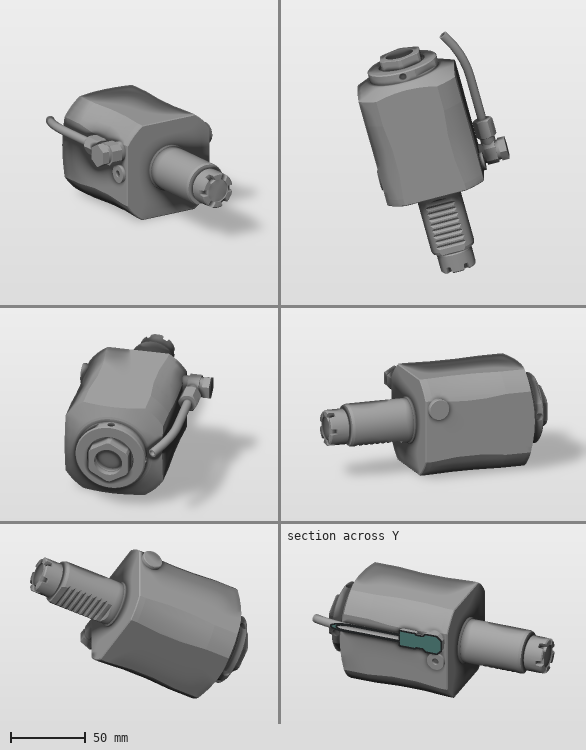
import cadquery as cq
import math


OVERALL_LENGTH = 157.3

BLOCK_SIDE = 67.0
BLOCK_LENGTH = 81.3
BLOCK_CORNER_RADIUS = 39.6
BLOCK_WAIST_RADIUS = 38.5
WAIST_START_X = -57.7
WAIST_END_X = -5.0
NOSE_CONE_LENGTH = 6.1
NOSE_CONE_RADIUS = 27.4
NOSE_BEVEL_LENGTH = 0.5
NOSE_FACE_RADIUS = 26.0
FLANGE_EDGE_CHAMFER = 0.6

RING_RADIUS = 23.9
RING_LENGTH = 7.0
RING_CHAMFER = 0.8
RING_RECESS_RADIUS = 16.0
RING_RECESS_DEPTH = 2.4
SPANNER_HOLE_RADIUS = 2.5
SPANNER_HOLE_DEPTH = 4.7
SPANNER_HOLE_POINT_DEPTH = 1.4
SPANNER_HOLE_COUNT = 4
RING_FLAT_WIDTH = 4.7
RING_FLAT_DISTANCE = 21.9
RING_FLAT_ANGLES = (45, 225)

COLLAR_RADIUS = 15.9
COLLAR_LENGTH = 1.5
COLLAR_CHAMFER = 0.6
SHANK_RADIUS = 15.0
SHANK_END_X = 45.2
SHANK_CHAMFER_LENGTH = 1.9
SHANK_CHAMFER_DEPTH = 0.6
TOOTH_FLAT_START_X = 7.2
TOOTH_FLAT_Z = -12.1
TOOTH_LEDGE_CHAMFER = 1.1
TOOTH_ROW_LENGTH = 28.0
TOOTH_GAP_COUNT = 8
TOOTH_PITCH = TOOTH_ROW_LENGTH / (TOOTH_GAP_COUNT - 1)
FIRST_TOOTH_GAP_X = 11.6
TOOTH_GAP_DEPTH = 1.3
TOOTH_GAP_WIDTH = 3.0

PORT_X = -8.8
PORT_Z = 15.4
PLUG_RADIUS = 7.2
PLUG_PROJECTION = 3.1
PLUG_CHAMFER = 0.5
BUTTON_X = -7.9
BUTTON_RADIUS = 6.1
BUTTON_PROJECTION = 2.4
BUTTON_HOLE_RADIUS = 2.4
ROOT_DEPTH = 4.7

FITTING_OUTER_Y = -51.8
FITTING_NECK_RADIUS = 6.8
SCREW_HEAD_FLATS = 14.0
SCREW_HEAD_THICKNESS = 4.9
FITTING_BLOCK_WIDTH = 15.1
FITTING_BLOCK_HEIGHT = 13.8
FITTING_BLOCK_THICKNESS = 7.9
FITTING_BLOCK_CHAMFER = 3.3
TUBE_Y = -40.7
TUBE_NECK_RADIUS = 5.0
NUT_START_X = -32.1
NUT_END_X = -19.7
NUT_FLATS = 12.0
NUT_CHAMFER_LENGTH = 1.0
NUT_FACE_RADIUS = 5.8

TUBE_RADIUS = 3.0
TUBE_BORE_RADIUS = 1.9
TUBE_BEND_X = -62.3
TUBE_BEND_RADIUS = 59.8
TUBE_BEND_ANGLE = 30
TUBE_BEND_TILT = 18

HEX_FLATS = 27.0
HEX_CORNER_RADIUS = 15.0
HEX_FACE_X = -94.4
HEX_FACE_CHAMFER = 0.3
JOURNAL_RADIUS = 15.3
JOURNAL_STEP = 1.5
JOURNAL_LENGTH = 23.6
SOCKET_RADIUS = 9.6
SOCKET_STEP_DEPTH = 4.4
SOCKET_INNER_RADIUS = 9.3
SOCKET_DEPTH = 8.3
SHAFT_RADIUS = 9.1
DRIVE_START_X = 46.3
DRIVE_END_X = 59.3
DRIVE_RADIUS = 12.1
DRIVE_REAR_CHAMFER = 0.6
DRIVE_FRONT_CHAMFER = 0.8
DRIVE_FACE_RECESS = 1.1
DRIVE_SLOT_COUNT = 6
DRIVE_SLOT_LENGTH = 4.4
DRIVE_SLOT_FLOOR_WIDTH = 3.1
DRIVE_SLOT_MOUTH_WIDTH = 4.4
DRIVE_SLOT_FLOOR_RADIUS = 7.9

HALF_SIDE = BLOCK_SIDE / 2
BLOCK_FACE_X = -BLOCK_LENGTH
RING_FACE_X = BLOCK_FACE_X - RING_LENGTH
JOURNAL_END_X = RING_FACE_X + JOURNAL_LENGTH


def cylinder_x(start, end, radius):
    return cq.Workplane("YZ", origin=(start, 0, 0)).circle(radius).extrude(end - start)


def cylinder_y(x, z, start, end, radius):
    """Cylinder along Y from start up to a larger end."""
    return cq.Workplane("XZ", origin=(x, end, z)).circle(radius).extrude(end - start)


def revolve_x(profile):
    """Turn a profile drawn in the XY plane about the X axis."""
    return profile.close().revolve(360, (0, 0, 0), (1, 0, 0))


def hex_corner_diameter(flats):
    return flats / math.cos(math.radians(30))


def make_block():
    """Square block turned to a waisted shape, with a conical front."""
    square = (
        cq.Workplane("YZ", origin=(BLOCK_FACE_X, 0, 0))
        .rect(BLOCK_SIDE, BLOCK_SIDE)
        .extrude(BLOCK_LENGTH)
    )
    envelope = revolve_x(
        cq.Workplane("XY")
        .moveTo(BLOCK_FACE_X, 0)
        .lineTo(BLOCK_FACE_X, NOSE_FACE_RADIUS)
        .lineTo(BLOCK_FACE_X + NOSE_BEVEL_LENGTH, NOSE_CONE_RADIUS)
        .lineTo(BLOCK_FACE_X + NOSE_CONE_LENGTH, BLOCK_CORNER_RADIUS)
        .lineTo(WAIST_START_X, BLOCK_CORNER_RADIUS)
        .threePointArc(
            ((WAIST_START_X + WAIST_END_X) / 2, BLOCK_WAIST_RADIUS),
            (WAIST_END_X, BLOCK_CORNER_RADIUS),
        )
        .lineTo(0, BLOCK_CORNER_RADIUS)
        .lineTo(0, 0)
    )
    return square.intersect(envelope).faces(">X").chamfer(FLANGE_EDGE_CHAMFER)


def make_ring():
    """Front bearing ring with pointed radial spanner holes and two milled flats."""
    ring = cylinder_x(RING_FACE_X, BLOCK_FACE_X, RING_RADIUS).faces("<X").edges().chamfer(RING_CHAMFER)
    middle_x = (RING_FACE_X + BLOCK_FACE_X) / 2
    hole_shoulder_z = RING_RADIUS - SPANNER_HOLE_DEPTH
    hole = (
        cq.Workplane("XZ", origin=(middle_x, 0, 0))
        .moveTo(0, hole_shoulder_z - SPANNER_HOLE_POINT_DEPTH)
        .lineTo(SPANNER_HOLE_RADIUS, hole_shoulder_z)
        .lineTo(SPANNER_HOLE_RADIUS, RING_RADIUS)
        .lineTo(0, RING_RADIUS)
        .close()
        .revolve(360, (0, 0, 0), (0, 1, 0))
    )
    for index in range(SPANNER_HOLE_COUNT):
        ring = ring.cut(hole.rotate((0, 0, 0), (1, 0, 0), index * 360 / SPANNER_HOLE_COUNT))
    for angle in RING_FLAT_ANGLES:
        flat = (
            cq.Workplane("XY", origin=(middle_x, 0, RING_FLAT_DISTANCE))
            .rect(RING_FLAT_WIDTH, 2 * RING_RADIUS)
            .extrude(RING_RADIUS)
        )
        ring = ring.cut(flat.rotate((0, 0, 0), (1, 0, 0), -angle))
    return ring


def make_shank():
    """Round shank with a collar at its root and a row of teeth along its underside."""
    collar = cylinder_x(0, COLLAR_LENGTH, COLLAR_RADIUS).faces(">X").edges().chamfer(COLLAR_CHAMFER)
    shank = revolve_x(
        cq.Workplane("XY")
        .lineTo(0, SHANK_RADIUS)
        .lineTo(SHANK_END_X - SHANK_CHAMFER_LENGTH, SHANK_RADIUS)
        .lineTo(SHANK_END_X, SHANK_RADIUS - SHANK_CHAMFER_DEPTH)
        .lineTo(SHANK_END_X, 0)
    )
    flat = (
        cq.Workplane("XZ")
        .moveTo(TOOTH_FLAT_START_X, TOOTH_FLAT_Z)
        .lineTo(SHANK_END_X, TOOTH_FLAT_Z)
        .lineTo(SHANK_END_X, -SHANK_RADIUS)
        .lineTo(TOOTH_FLAT_START_X - TOOTH_LEDGE_CHAMFER, -SHANK_RADIUS)
        .lineTo(TOOTH_FLAT_START_X, -SHANK_RADIUS + TOOTH_LEDGE_CHAMFER)
        .close()
        .extrude(SHANK_RADIUS, both=True)
    )
    shank = shank.cut(flat)
    for index in range(TOOTH_GAP_COUNT):
        x = FIRST_TOOTH_GAP_X + index * TOOTH_PITCH
        gap = (
            cq.Workplane("XZ")
            .moveTo(x, TOOTH_FLAT_Z + TOOTH_GAP_DEPTH)
            .lineTo(x + TOOTH_GAP_WIDTH / 2, TOOTH_FLAT_Z)
            .lineTo(x - TOOTH_GAP_WIDTH / 2, TOOTH_FLAT_Z)
            .close()
            .extrude(SHANK_RADIUS, both=True)
        )
        shank = shank.cut(gap)
    return collar.union(shank)


def make_side_plugs():
    """Chamfered plug on the +Y side and button with a blind hole on the -Y side."""
    plug = cylinder_y(PORT_X, PORT_Z, HALF_SIDE - ROOT_DEPTH, HALF_SIDE + PLUG_PROJECTION, PLUG_RADIUS)
    plug = plug.faces(">Y").edges().chamfer(PLUG_CHAMFER)
    button_face_y = -HALF_SIDE - BUTTON_PROJECTION
    button = cylinder_y(BUTTON_X, 0, button_face_y, -HALF_SIDE, BUTTON_RADIUS)
    hole = cylinder_y(BUTTON_X, 0, button_face_y, -HALF_SIDE, BUTTON_HOLE_RADIUS)
    return plug.union(button.cut(hole))


def make_fitting():
    """Hollow-screw fitting standing on the -Y side, with the union nut that holds the tube."""
    head_inner_y = FITTING_OUTER_Y + SCREW_HEAD_THICKNESS
    neck = cylinder_y(PORT_X, PORT_Z, head_inner_y, -HALF_SIDE + ROOT_DEPTH, FITTING_NECK_RADIUS)
    head = (
        cq.Workplane("XZ", origin=(PORT_X, head_inner_y, PORT_Z))
        .transformed(rotate=(0, 0, 30))
        .polygon(6, hex_corner_diameter(SCREW_HEAD_FLATS))
        .extrude(SCREW_HEAD_THICKNESS)
    )
    block = (
        cq.Workplane("XY", origin=(PORT_X, TUBE_Y, PORT_Z))
        .box(FITTING_BLOCK_WIDTH, FITTING_BLOCK_THICKNESS, FITTING_BLOCK_HEIGHT)
        .edges("|Y")
        .chamfer(FITTING_BLOCK_CHAMFER)
    )
    tube_neck = cylinder_x(NUT_END_X, PORT_X, TUBE_NECK_RADIUS).translate((0, TUBE_Y, PORT_Z))
    return neck.union(head).union(block).union(tube_neck).union(make_nut())


def make_nut():
    """Union nut: a hexagonal prism with its corners turned to a cone at both ends."""
    corner_diameter = hex_corner_diameter(NUT_FLATS)
    corner_radius = corner_diameter / 2
    prism = (
        cq.Workplane("YZ", origin=(NUT_START_X, 0, 0))
        .polygon(6, corner_diameter)
        .extrude(NUT_END_X - NUT_START_X)
    )
    envelope = revolve_x(
        cq.Workplane("XY")
        .moveTo(NUT_START_X, 0)
        .lineTo(NUT_START_X, NUT_FACE_RADIUS)
        .lineTo(NUT_START_X + NUT_CHAMFER_LENGTH, corner_radius)
        .lineTo(NUT_END_X - NUT_CHAMFER_LENGTH, corner_radius)
        .lineTo(NUT_END_X, NUT_FACE_RADIUS)
        .lineTo(NUT_END_X, 0)
    )
    return prism.intersect(envelope).translate((0, TUBE_Y, PORT_Z))


def make_tube():
    """Open tube from the nut face, bending inwards and slightly down to a straight tip."""
    tilt = math.radians(TUBE_BEND_TILT)
    bend = math.radians(TUBE_BEND_ANGLE)
    start = (NUT_START_X, TUBE_Y, PORT_Z)
    straight = NUT_START_X - TUBE_BEND_X
    bend_plane = cq.Plane(origin=start, xDir=(-1, 0, 0), normal=(0, -math.sin(tilt), -math.cos(tilt)))

    def bend_point(angle):
        along = straight + TUBE_BEND_RADIUS * math.sin(angle)
        aside = TUBE_BEND_RADIUS * (1 - math.cos(angle))
        return along, aside

    bend_end = bend_point(bend)
    tip_along = NUT_START_X - (DRIVE_END_X - OVERALL_LENGTH) - TUBE_RADIUS * math.sin(bend)
    tip_aside = bend_end[1] + (tip_along - bend_end[0]) * math.tan(bend)
    path = (
        cq.Workplane(bend_plane)
        .lineTo(straight, 0)
        .threePointArc(bend_point(bend / 2), bend_end)
        .lineTo(tip_along, tip_aside)
    )
    return cq.Workplane("YZ", origin=start).circle(TUBE_RADIUS).circle(TUBE_BORE_RADIUS).sweep(path)


def make_housing():
    """Block, ring, shank, plugs and coolant line as one body, bored for the spindle."""
    housing = make_block().union(make_ring()).union(make_shank())
    recess = cylinder_x(RING_FACE_X, RING_FACE_X + RING_RECESS_DEPTH, RING_RECESS_RADIUS)
    journal_bore = cylinder_x(RING_FACE_X, JOURNAL_END_X, JOURNAL_RADIUS)
    shaft_bore = cylinder_x(JOURNAL_END_X, SHANK_END_X, SHAFT_RADIUS)
    housing = housing.cut(recess).cut(journal_bore).cut(shaft_bore)
    return housing.union(make_side_plugs()).union(make_fitting()).union(make_tube())


def make_drive_end():
    """Slotted drive end with a recessed face."""
    drive = cylinder_x(DRIVE_START_X, DRIVE_END_X, DRIVE_RADIUS)
    drive = drive.faces("<X").chamfer(DRIVE_REAR_CHAMFER).faces(">X").chamfer(DRIVE_FRONT_CHAMFER)
    drive = drive.cut(cylinder_x(DRIVE_END_X - DRIVE_FACE_RECESS, DRIVE_END_X, DRIVE_SLOT_FLOOR_RADIUS))
    slot_start_x = DRIVE_END_X - DRIVE_SLOT_LENGTH
    slot = (
        cq.Workplane("XZ", origin=(0, -DRIVE_SLOT_FLOOR_RADIUS, 0))
        .moveTo(slot_start_x, -DRIVE_SLOT_FLOOR_WIDTH / 2)
        .lineTo(slot_start_x, DRIVE_SLOT_FLOOR_WIDTH / 2)
        .lineTo(DRIVE_END_X, DRIVE_SLOT_MOUTH_WIDTH / 2)
        .lineTo(DRIVE_END_X, -DRIVE_SLOT_MOUTH_WIDTH / 2)
        .close()
        .extrude(DRIVE_RADIUS)
    )
    for index in range(DRIVE_SLOT_COUNT):
        drive = drive.cut(slot.rotate((0, 0, 0), (1, 0, 0), index * 360 / DRIVE_SLOT_COUNT))
    return drive


def make_spindle():
    """Spindle through the housing: socketed hexagon in front, drive end behind."""
    journal_face_x = RING_FACE_X + JOURNAL_STEP
    hexagon = (
        cq.Workplane("YZ", origin=(HEX_FACE_X, 0, 0))
        .transformed(rotate=(0, 0, 30))
        .polygon(6, hex_corner_diameter(HEX_FLATS))
        .extrude(journal_face_x - HEX_FACE_X)
        .intersect(cylinder_x(HEX_FACE_X, journal_face_x, HEX_CORNER_RADIUS))
        .faces("<X")
        .chamfer(HEX_FACE_CHAMFER)
    )
    journal = cylinder_x(journal_face_x, JOURNAL_END_X, JOURNAL_RADIUS)
    shaft = cylinder_x(JOURNAL_END_X, DRIVE_START_X, SHAFT_RADIUS)
    socket = cylinder_x(HEX_FACE_X, HEX_FACE_X + SOCKET_STEP_DEPTH, SOCKET_RADIUS)
    inner_socket = cylinder_x(HEX_FACE_X, HEX_FACE_X + SOCKET_DEPTH, SOCKET_INNER_RADIUS)
    spindle = hexagon.union(journal).union(shaft).union(make_drive_end())
    return spindle.cut(socket).cut(inner_socket)


housing = make_housing()
spindle = make_spindle()

result = cq.Compound.makeCompound([housing.val(), spindle.val()])